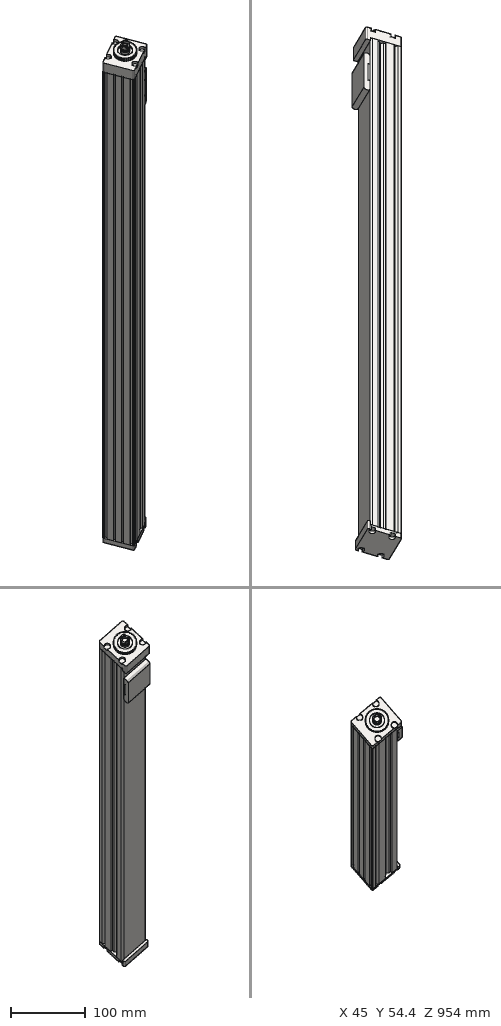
import cadquery as cq

LENGTH = 954.0
BOTTOM_CAP_HEIGHT = 9.0
PROFILE_TOP = 918.0
TOP_CAP_TOP = 936.0

WIDTH = 45.0
FRONT_Y = -27.2
PROFILE_BACK_Y = 18.0

GROOVE_DEPTH = 3.0
FRONT_GROOVES = [(6.0, 3.0), (18.0, 4.0)]
SIDE_SLOT_Y = 1.4
SIDE_SLOT_WIDTH = 11.0
SIDE_SLOT_NECK = 6.0
SIDE_SLOT_DEPTH = 6.0
SIDE_NOTCH_Y = -18.6
SIDE_NOTCH_WIDTH = 6.0
BACK_CHAMFER = 2.4
FRONT_CHAMFER = 1.0

CAP_CORNER_RADIUS = 2.0
TOP_FLANGE_Y = 25.0
TOP_FLANGE_HEIGHT = 23.0
BOTTOM_FLANGE_Y = 22.0
BOTTOM_FLANGE_HEIGHT = 15.0
SCREW_X = 19.0
SCREW_Y = 14.0
SCREW_HEAD_DIAMETER = 9.0
SCREW_RECESS_DEPTH = 5.0

SOCKET_BASE_DIAMETER = 31.5
SOCKET_BASE_HEIGHT = 6.0
SOCKET_RECESS_DIAMETER = 20.0
SOCKET_RECESS_DEPTH = 3.0
KNURL_COUNT = 36
KNURL_DIAMETER = 1.5
STUB_DIAMETER = 12.0
STUB_RING_COUNT = 2
STUB_RING_PITCH = 3.0
STUB_RING_WIDTH = STUB_RING_PITCH / 2
STUB_RING_DEPTH = 0.6
STUB_SLOT_WIDTH = 9.0
STUB_SLOT_DEPTH = 4.0
STUB_BORE_DIAMETER = 8.0
STUB_BORE_DEPTH = 9.0

CLIP_WIDTH = 41.0
CLIP_BACK_Y = 27.2
CLIP_BOTTOM = 823.0
CLIP_HEIGHT = 63.0
CLIP_TOP = CLIP_BOTTOM + CLIP_HEIGHT
CLIP_MIDDLE = CLIP_BOTTOM + CLIP_HEIGHT / 2
CLIP_END_BULGE = 3.0
PLATE_FRONT_Y = 21.0
NUT_LENGTH = 31.0


def box(x_size, y_min, y_max, z_min, z_max, x_centre=0.0):
    """Block centred at x_centre in X and given by its limits in Y and Z."""
    return (
        cq.Workplane("XY")
        .box(x_size, y_max - y_min, z_max - z_min, centered=(True, False, False))
        .translate((x_centre, y_min, z_min))
    )


def front_groove(x_centre, width):
    """Square groove along the front face."""
    return box(width, FRONT_Y, FRONT_Y + GROOVE_DEPTH, BOTTOM_CAP_HEIGHT, PROFILE_TOP, x_centre)


def side_cutter(points):
    """Prism over the housing height, from (depth, y) points measured in from the -X side."""
    return (
        cq.Workplane("XY", origin=(-WIDTH / 2, 0, BOTTOM_CAP_HEIGHT))
        .polyline(points)
        .close()
        .extrude(PROFILE_TOP - BOTTOM_CAP_HEIGHT)
    )


def side_slot():
    """Stepped slot with a V-shaped floor in the -X side."""
    outer = SIDE_SLOT_WIDTH / 2
    neck = SIDE_SLOT_NECK / 2
    return side_cutter(
        [
            (0, SIDE_SLOT_Y - outer),
            (GROOVE_DEPTH, SIDE_SLOT_Y - outer),
            (GROOVE_DEPTH, SIDE_SLOT_Y - neck),
            (SIDE_SLOT_DEPTH, SIDE_SLOT_Y),
            (GROOVE_DEPTH, SIDE_SLOT_Y + neck),
            (GROOVE_DEPTH, SIDE_SLOT_Y + outer),
            (0, SIDE_SLOT_Y + outer),
        ]
    )


def side_notch():
    """V-shaped groove in the -X side."""
    half = SIDE_NOTCH_WIDTH / 2
    return side_cutter(
        [
            (0, SIDE_NOTCH_Y - half),
            (GROOVE_DEPTH, SIDE_NOTCH_Y),
            (0, SIDE_NOTCH_Y + half),
        ]
    )


def make_profile():
    """Extruded housing with grooves along its front and both sides."""
    profile = box(WIDTH, FRONT_Y, PROFILE_BACK_Y, BOTTOM_CAP_HEIGHT, PROFILE_TOP)
    profile = profile.edges("|Z and >Y").chamfer(BACK_CHAMFER)
    profile = profile.edges("|Z and <Y").chamfer(FRONT_CHAMFER)
    for centre, width in FRONT_GROOVES:
        for side in (-1, 1):
            profile = profile.cut(front_groove(side * centre, width))
    for cutter in (side_slot(), side_notch()):
        profile = profile.cut(cutter).cut(cutter.mirror("YZ"))
    return profile


def screw_recesses(z_min):
    """Four round screw recesses that break out through the cap sides."""
    return (
        cq.Workplane("XY", origin=(0, 0, z_min))
        .rect(2 * SCREW_X, 2 * SCREW_Y, forConstruction=True)
        .vertices()
        .circle(SCREW_HEAD_DIAMETER / 2)
        .extrude(SCREW_RECESS_DEPTH)
    )


def make_cap(z_min, z_max):
    """Cap block with rounded front corners and the outline of the housing."""
    cap = box(WIDTH, FRONT_Y, PROFILE_BACK_Y, z_min, z_max)
    return cap.edges("|Z and <Y").fillet(CAP_CORNER_RADIUS)


def make_flange(back_y, z_min, z_max):
    """Flange behind a cap."""
    flange = box(WIDTH, PROFILE_BACK_Y, back_y, z_min, z_max)
    return flange.edges("|Z and >Y").fillet(CAP_CORNER_RADIUS)


def make_top_cap():
    """Top cap with a flange that hangs down behind the housing."""
    flange = make_flange(TOP_FLANGE_Y, TOP_CAP_TOP - TOP_FLANGE_HEIGHT, TOP_CAP_TOP)
    cap = make_cap(PROFILE_TOP, TOP_CAP_TOP).union(flange)
    return cap.cut(screw_recesses(TOP_CAP_TOP - SCREW_RECESS_DEPTH))


def make_bottom_cap():
    """Bottom cap with a flange that rises behind the housing."""
    flange = make_flange(BOTTOM_FLANGE_Y, 0, BOTTOM_FLANGE_HEIGHT)
    cap = make_cap(0, BOTTOM_CAP_HEIGHT).union(flange)
    return cap.cut(screw_recesses(0))


def cylinder(diameter, z_min, z_max):
    """Upright cylinder on the Z axis."""
    return cq.Workplane("XY", origin=(0, 0, z_min)).circle(diameter / 2).extrude(z_max - z_min)


def make_connector():
    """Knurled socket base with a ringed, bored and slotted stub."""
    base_top = TOP_CAP_TOP + SOCKET_BASE_HEIGHT
    recess_floor = base_top - SOCKET_RECESS_DEPTH
    knurl = (
        cq.Workplane("XY", origin=(0, 0, TOP_CAP_TOP))
        .polarArray(SOCKET_BASE_DIAMETER / 2, 0, 360, KNURL_COUNT)
        .circle(KNURL_DIAMETER / 2)
        .extrude(SOCKET_BASE_HEIGHT)
    )
    base = (
        cylinder(SOCKET_BASE_DIAMETER, TOP_CAP_TOP, base_top)
        .cut(cylinder(SOCKET_RECESS_DIAMETER, recess_floor, base_top))
        .cut(knurl)
    )

    stub = cylinder(STUB_DIAMETER, recess_floor, LENGTH)
    for i in range(STUB_RING_COUNT):
        ring_bottom = base_top + STUB_RING_WIDTH + i * STUB_RING_PITCH
        ring_top = ring_bottom + STUB_RING_WIDTH
        groove = cylinder(STUB_DIAMETER, ring_bottom, ring_top).cut(
            cylinder(STUB_DIAMETER - 2 * STUB_RING_DEPTH, ring_bottom, ring_top)
        )
        stub = stub.cut(groove)

    bore = cylinder(STUB_BORE_DIAMETER, LENGTH - STUB_BORE_DEPTH, LENGTH)
    slot_side = STUB_SLOT_WIDTH / 2
    slot = box(STUB_DIAMETER, -slot_side, slot_side, LENGTH - STUB_SLOT_DEPTH, LENGTH)
    return base.union(stub).cut(bore).cut(slot)


def make_clip():
    """Back plate with bulged ends and a recess for the nut in its front side."""
    middle_y = (PROFILE_BACK_Y + CLIP_BACK_Y) / 2
    plate = (
        cq.Workplane("YZ")
        .moveTo(PROFILE_BACK_Y, CLIP_BOTTOM)
        .threePointArc((middle_y, CLIP_BOTTOM - CLIP_END_BULGE), (CLIP_BACK_Y, CLIP_BOTTOM))
        .lineTo(CLIP_BACK_Y, CLIP_TOP)
        .threePointArc((middle_y, CLIP_TOP + CLIP_END_BULGE), (PROFILE_BACK_Y, CLIP_TOP))
        .close()
        .extrude(CLIP_WIDTH / 2, both=True)
    )
    return plate.cut(make_nut())


def make_nut():
    """Block filling the recess between the clip pads."""
    return box(
        CLIP_WIDTH,
        PROFILE_BACK_Y,
        PLATE_FRONT_Y,
        CLIP_MIDDLE - NUT_LENGTH / 2,
        CLIP_MIDDLE + NUT_LENGTH / 2,
    )


profile = make_profile()
top_cap = make_top_cap()
bottom_cap = make_bottom_cap()
connector = make_connector()
clip = make_clip()
nut = make_nut()

result = cq.Compound.makeCompound(
    [
        profile.val(),
        top_cap.val(),
        bottom_cap.val(),
        connector.val(),
        clip.val(),
        nut.val(),
    ]
)